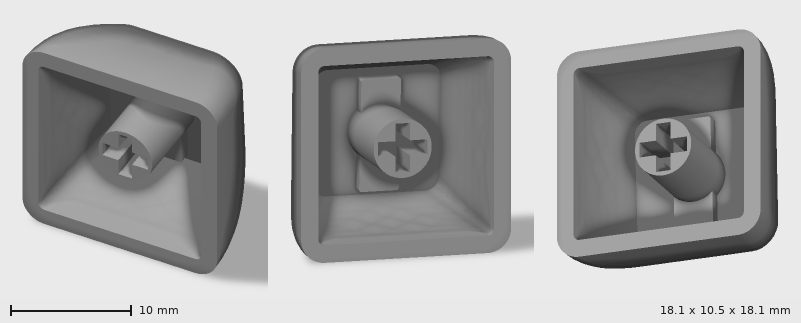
import cadquery as cq
import math

rim_size = 18.1
rim_corner = 2.01
wall = 1.48

top_size = 12.67
top_corner = 2.72
top_height = 10.08
top_tilt = 4.0

roof = 1.41
ceiling_size = 10.86
ceiling_corner = 1.15
ceiling_height = top_height - roof / math.cos(math.radians(top_tilt))

post_diameter = 5.0
post_recess = 1.0
cross_length = 4.24
cross_width = 1.29
cross_depth = 4.0
pad_width = 3.42
pad_length = 9.65
pad_height = 1.09
pad_corner = 0.2

section_count = 5


def tilted_plane(height, tilt):
    """Plane centred on the Y axis, facing +Y and leaning towards +Z by tilt degrees."""
    angle = math.radians(tilt)
    return cq.Plane(
        origin=(0, height, 0),
        xDir=(1, 0, 0),
        normal=(0, math.cos(angle), math.sin(angle)),
    )


def curved_taper(start_size, end_size, start_corner, end_corner, height):
    """Rounded-square loft that leaves the rim upright, narrows and leans to the full tilt."""
    sections = []
    for index in range(section_count):
        rise = index / (section_count - 1)
        size = start_size + (end_size - start_size) * rise**2
        corner = start_corner + (end_corner - start_corner) * rise**2
        plane = tilted_plane(height * rise, top_tilt * rise)
        outline = cq.Sketch().rect(size, size).vertices().fillet(corner)
        sections.append(outline.moved(plane.location))
    return cq.Workplane("XY").placeSketch(*sections).loft()


def make_cavity():
    """Space inside the cap, from the rim to the ceiling."""
    return curved_taper(
        rim_size - 2 * wall,
        ceiling_size,
        rim_corner - wall,
        ceiling_corner,
        ceiling_height,
    )


def make_cap():
    """Hollow cap, open at the rim."""
    outside = curved_taper(rim_size, top_size, rim_corner, top_corner, top_height)
    return outside.cut(make_cavity()).solids()


def make_stem():
    """Post with a cross socket, trimmed to the ceiling and joined to its pad."""
    post_base = cq.Workplane(tilted_plane(post_recess, 0))
    post = post_base.circle(post_diameter / 2).extrude(top_height - post_recess)
    post = post.intersect(make_cavity())

    pad_face = cq.Workplane(tilted_plane(top_height, top_tilt)).workplane(offset=-roof)
    pad_outline = cq.Sketch().rect(pad_width, pad_length).vertices().fillet(pad_corner)
    pad = pad_face.placeSketch(pad_outline).extrude(-pad_height)

    upright_arm = post_base.rect(cross_width, cross_length).extrude(cross_depth)
    level_arm = post_base.rect(cross_length, cross_width).extrude(cross_depth)
    return post.union(pad).cut(upright_arm).cut(level_arm).solids()


cap = make_cap()
stem = make_stem()
result = cq.Compound.makeCompound([cap.val(), stem.val()])